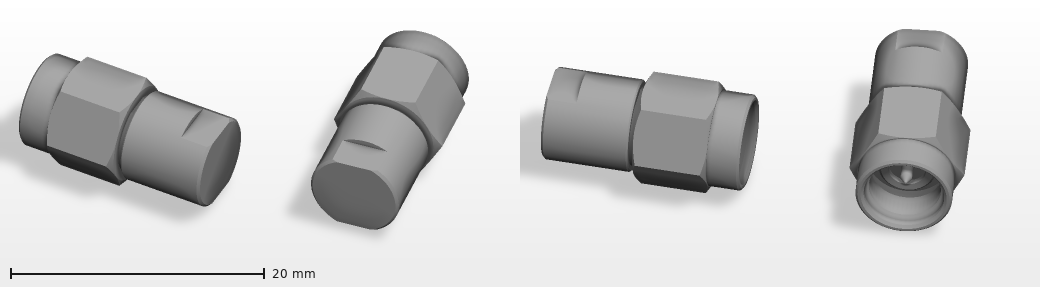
import cadquery as cq
import math

total_length = 16.05
hex_start = 2.62
hex_end = 8.59
body_start = 9.02
wrench_flat_start = 13.53

sleeve_radius = 3.84
sleeve_chamfer = 0.2
hex_across_flats = 7.9
hex_chamfer_radius = 3.93
hex_chamfer_angle = 30.0

thread_bore_radius = 2.85
thread_bore_end = 3.07
mouth_radius = 3.2
mouth_depth = 0.72
mouth_chamfer = 0.22
cavity_floor = 4.17

barrel_radius = 2.28
barrel_front = 3.13
barrel_chamfer = 0.21
recess_radius = 1.48
recess_depth = 0.48
pin_radius = 0.47
pin_tip_radius = 0.08
pin_tip_position = 1.64
pin_taper_length = 0.65

neck_radius = 3.16
neck_across_flats = 5.97
body_radius = 3.69
body_front_chamfer = 0.13
body_rear_chamfer = 0.21
body_across_flats = 6.35


def revolve_profile(points):
    """Solid of revolution about X from (x, radius) points; the axis closes the outline."""
    first_x = points[0][0]
    last_x = points[-1][0]
    outline = [(first_x, 0)] + points + [(last_x, 0)]
    return cq.Workplane("XY").polyline(outline).close().revolve(360, (0, 0, 0), (1, 0, 0))


def flat_slab(start, end, thickness):
    """Slab that trims a round section to two flats facing +Z and -Z."""
    width = 2 * hex_across_flats
    return cq.Workplane("XY").box(end - start, width, thickness).translate(((start + end) / 2, 0, 0))


def make_sleeve():
    return revolve_profile([
        (0, sleeve_radius - sleeve_chamfer),
        (sleeve_chamfer, sleeve_radius),
        (hex_end, sleeve_radius),
    ])


def make_hexagon():
    """Hexagon with corners on +Y and -Y, both ends turned to a shallow cone."""
    across_corners = hex_across_flats / math.cos(math.radians(30))
    corner_radius = across_corners / 2
    cone_length = (corner_radius - hex_chamfer_radius) * math.tan(math.radians(hex_chamfer_angle))
    prism = (
        cq.Workplane("YZ").workplane(offset=hex_start)
        .polygon(6, across_corners).extrude(hex_end - hex_start)
    )
    turned_blank = revolve_profile([
        (hex_start, hex_chamfer_radius),
        (hex_start + cone_length, corner_radius),
        (hex_end - cone_length, corner_radius),
        (hex_end, hex_chamfer_radius),
    ])
    return prism.intersect(turned_blank)


def make_cavity():
    """Chamfered mouth and thread bore, then a relief as wide as the mouth; 45 degree tapers join them."""
    bore_taper_length = mouth_radius - thread_bore_radius
    return revolve_profile([
        (0, mouth_radius + mouth_chamfer),
        (mouth_chamfer, mouth_radius),
        (mouth_depth, mouth_radius),
        (mouth_depth + bore_taper_length, thread_bore_radius),
        (thread_bore_end, thread_bore_radius),
        (thread_bore_end + bore_taper_length, mouth_radius),
        (cavity_floor, mouth_radius),
    ])


def make_barrel():
    """Barrel standing on the cavity floor, with a round recess around the pin."""
    barrel = revolve_profile([
        (barrel_front, barrel_radius - barrel_chamfer),
        (barrel_front + barrel_chamfer, barrel_radius),
        (hex_end, barrel_radius),
    ])
    recess = revolve_profile([
        (barrel_front, recess_radius),
        (barrel_front + recess_depth, recess_radius),
    ])
    return barrel.cut(recess)


def make_pin():
    return revolve_profile([
        (pin_tip_position, pin_tip_radius),
        (pin_tip_position + pin_taper_length, pin_radius),
        (hex_end, pin_radius),
    ])


def make_neck():
    neck = revolve_profile([(cavity_floor, neck_radius), (body_start, neck_radius)])
    return neck.intersect(flat_slab(cavity_floor, body_start, neck_across_flats))


def make_rear_body():
    body = revolve_profile([
        (body_start, body_radius - body_front_chamfer),
        (body_start + body_front_chamfer, body_radius),
        (total_length - body_rear_chamfer, body_radius),
        (total_length, body_radius - body_rear_chamfer),
    ])
    full_height = flat_slab(body_start, wrench_flat_start, 2 * body_radius)
    between_flats = flat_slab(wrench_flat_start, total_length, body_across_flats)
    return body.intersect(full_height.union(between_flats))


nut = make_sleeve().union(make_hexagon()).cut(make_cavity())
result = nut.union(make_barrel()).union(make_pin()).union(make_neck()).union(make_rear_body())